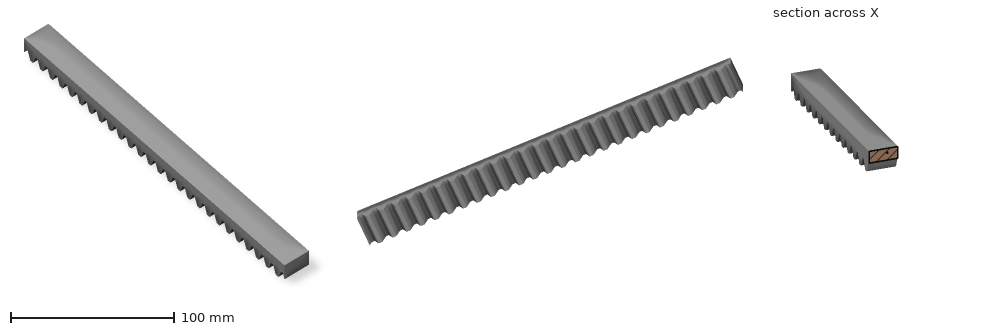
import cadquery as cq
import math

length = 250.0
width = 19.4
height = 15.0

module = 3.0
pressure_angle = math.radians(20)
tooth_count = 26
addendum = module
dedendum = 1.25 * module
pitch = math.pi * module

gap_count = tooth_count + 1
gap_depth = addendum + dedendum
gap_half_at_pitch_line = pitch / 4
gap_half_at_root = gap_half_at_pitch_line - dedendum * math.tan(pressure_angle)
gap_half_at_tip = gap_half_at_pitch_line + addendum * math.tan(pressure_angle)
first_gap_x = -tooth_count * pitch / 2


def make_bar():
    """Plain bar centred on X and Y, with its underside (the tooth tips) on Z = 0."""
    return cq.Workplane("XY").box(length, width, height, centered=(True, True, False))


def make_gap(center_x):
    """Straight-sided gap beside a tooth, running across the full width of the bar."""
    outline = [
        (center_x - gap_half_at_tip, 0),
        (center_x - gap_half_at_root, gap_depth),
        (center_x + gap_half_at_root, gap_depth),
        (center_x + gap_half_at_tip, 0),
    ]
    return cq.Workplane("XZ").polyline(outline).close().extrude(width / 2, both=True)


result = make_bar()
for index in range(gap_count):
    result = result.cut(make_gap(first_gap_x + index * pitch))